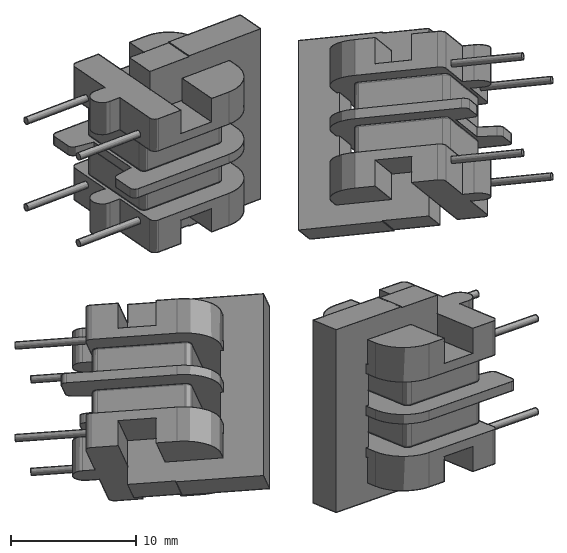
import cadquery as cq
import math


flange_width = 11.0
flange_depth = 12.5
flange_back_radius = 3.0
middle_thickness = 0.81
end_thickness = 2.98

winding_width = 7.57
winding_depth = 8.1
winding_height = 2.8
winding_corner_radius = 0.5
winding_rim_round = 0.15

front_step = 2.0
foot_width = 2.0
pin_face_corner_radius = 0.51
notch_floor_half_width = 2.49
notch_wall_angle = 10.0
middle_corner_radius = 0.5

core_width = 2.73
core_height = 15.8
core_back_y = 9.5
core_back_thickness = 3.5
core_step_y = 2.37
core_step_drop = 0.08
groove_width = 3.08
groove_floor_thickness = 0.81

pin_diameter = 0.6
pin_half_spacing = 3.5
overall_depth = 19.76

back_y = flange_depth / 2
front_y = -back_y
pin_tip_y = core_back_y - overall_depth
pin_face_y = front_y + front_step
end_inner_z = middle_thickness / 2 + winding_height
end_outer_z = end_inner_z + end_thickness
groove_floor_z = end_inner_z + groove_floor_thickness
core_half_height = core_height / 2
core_tip_y = -groove_width / 2


def box(x_size, y_min, y_max, z_min, z_max):
    """Box centred on X = 0 between the given Y and Z limits."""
    return (
        cq.Workplane("XY", origin=(0, (y_min + y_max) / 2, z_min))
        .box(x_size, y_max - y_min, z_max - z_min, centered=(True, True, False))
    )


def back_rounded_plate(plate_front_y, z_min, z_max):
    """Flange plate with large radii on its two back corners."""
    plate = box(flange_width, plate_front_y, back_y, z_min, z_max)
    return plate.edges("|Z and >Y").fillet(flange_back_radius)


def middle_flange():
    """Thin flange whose front is split into two ears by a flared notch."""
    z_min = -middle_thickness / 2
    plate = back_rounded_plate(front_y, z_min, middle_thickness / 2)
    mouth_half_width = notch_floor_half_width + front_step * math.tan(math.radians(notch_wall_angle))
    notch = (
        cq.Workplane("XY", origin=(0, 0, z_min))
        .polyline([
            (-notch_floor_half_width, pin_face_y),
            (notch_floor_half_width, pin_face_y),
            (mouth_half_width, front_y),
            (-mouth_half_width, front_y),
        ])
        .close()
        .extrude(middle_thickness)
    )
    return plate.cut(notch).edges("|Z and <Y").fillet(middle_corner_radius)


def upper_end_flange():
    """Thick flange with a round-nosed foot, a cross groove and a core groove."""
    flange = back_rounded_plate(pin_face_y, end_inner_z, end_outer_z)
    flange = flange.edges("|Z and <Y").fillet(pin_face_corner_radius)
    nose_radius = foot_width / 2
    nose_center_y = front_y + nose_radius
    foot = box(foot_width, nose_center_y, pin_face_y, end_inner_z, end_outer_z)
    nose = (
        cq.Workplane("XY", origin=(0, nose_center_y, end_inner_z))
        .circle(nose_radius)
        .extrude(end_thickness)
    )
    cross_groove = box(flange_width, core_tip_y, -core_tip_y, groove_floor_z, end_outer_z)
    core_groove = box(groove_width, 0, back_y, groove_floor_z, end_outer_z)
    return flange.union(foot).union(nose).cut(cross_groove).cut(core_groove)


def upper_winding():
    """Winding block between the middle flange and the upper end flange."""
    block = box(winding_width, -winding_depth / 2, winding_depth / 2, middle_thickness / 2, end_inner_z)
    block = block.edges("|Z").fillet(winding_corner_radius)
    return block.faces("<Z or >Z").edges().fillet(winding_rim_round)


def upper_pins():
    """Pair of round pins standing out of the pin face of the upper end flange."""
    return (
        cq.Workplane("XZ", origin=(0, pin_face_y, groove_floor_z))
        .pushPoints([(-pin_half_spacing, 0), (pin_half_spacing, 0)])
        .circle(pin_diameter / 2)
        .extrude(pin_face_y - pin_tip_y)
    )


def upper_core_leg():
    """Core leg resting on the groove floor, with a slightly lower tip."""
    leg = box(core_width, core_step_y, core_back_y, groove_floor_z, core_half_height)
    tip = box(core_width, core_tip_y, core_step_y, groove_floor_z, core_half_height - core_step_drop)
    return leg.union(tip)


core_back = box(
    core_width, core_back_y - core_back_thickness, core_back_y, -core_half_height, core_half_height
)

result = middle_flange().union(core_back)
for upper_part in (upper_end_flange(), upper_winding(), upper_pins(), upper_core_leg()):
    result = result.union(upper_part).union(upper_part.mirror("XY"))